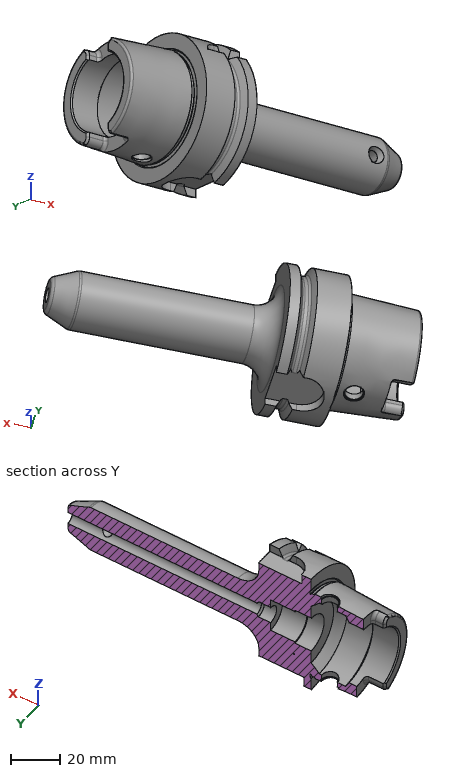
import cadquery as cq
import math

SHANK_LENGTH = 32.0
GAUGE_DIAMETER = 48.02
GAUGE_TO_FACE = 6.3
TAPER_RATIO = 9.98
SHANK_EDGE_RADIUS = 1.0
RELIEF_WIDTH = 2.0
RELIEF_DEPTH = 0.5
FACE_RELIEF_DIAMETER = 50.0
FACE_RELIEF_DEPTH = 0.5

FLANGE_LENGTH = 26.0
FLANGE_DIAMETER = 63.0
GROOVE_FROM_FACE = 18.0
GROOVE_DIAMETER = 55.0
GROOVE_BOTTOM_WIDTH = 3.1
GROOVE_HALF_ANGLE = 25.0
GROOVE_ROOT_RADIUS = 1.2

TOTAL_LENGTH = 152.0
ARBOR_DIAMETER = 24.5
ARBOR_ROOT_RADIUS = 10.0
NOSE_LENGTH = 11.0
NOSE_HALF_ANGLE = 23.5
NOSE_START_RADIUS = 2.3
NOSE_END_RADIUS = 2.1

MOUTH_DIAMETER = 34.0
MOUTH_CHAMFER = 0.6
MOUTH_LENGTH = 13.4
CLAMP_DIAMETER = 40.0
CLAMP_HALF_ANGLE = 60.0
CAVITY_DEPTH = 32.0
CAVITY_FLOOR_DIAMETER = 32.0

SEAT_DIAMETER = 18.5
SEAT_DEPTH = 8.0
SEAT_BORE_DIAMETER = 17.0
SEAT_BORE_DEPTH = 12.0
FEED_DIAMETER = 8.4
FEED_DEPTH = 6.0
FEED_TIP_HALF_ANGLE = 59.0
COOLANT_DIAMETER = 6.0

SHANK_HOLE_X = 23.0
SHANK_HOLE_DIAMETER = 7.5
SHANK_HOLE_RIM_DIAMETER = 8.4
SHANK_HOLE_RIM_DEPTH = 1.0
SCREW_HOLE_X = 134.55
SCREW_HOLE_DIAMETER = 4.92
SCREW_HOLE_RIM_DIAMETER = 7.8
SCREW_SINK_HALF_ANGLE = 30.0

NOTCH_WIDTH = 12.54
TOP_NOTCH_DEPTH = 6.2
BOTTOM_NOTCH_DEPTH = 9.5
NOTCH_CORNER_RADIUS = 1.5
NOTCH_LIP_RADIUS = 3.0
NOTCH_MOUTH_CHAMFER = 1.0
NOTCH_LIP_START = 17.8

SLOT_END_CENTRE_X = 44.8
SLOT_FLOOR = 26.5
TOP_SLOT_WIDTH = 16.0
BOTTOM_SLOT_WIDTH = 18.0
INDEX_OFFSET = 20.0
INDEX_END_RADIUS = 7.0

FACE_X = SHANK_LENGTH
FLANGE_END_X = FACE_X + FLANGE_LENGTH
CLEAR = 40.0
EDGE_MARGIN = 1.0
BEVEL_ANGLE = 45.0


def revolve_about_x(profile):
    return profile.close().revolve(360, (0, 0, 0), (1, 0, 0))


def taper_radius(x):
    gauge_x = FACE_X - GAUGE_TO_FACE
    return (GAUGE_DIAMETER + (x - gauge_x) / TAPER_RATIO) / 2


RELIEF_X = FACE_X - RELIEF_WIDTH
RELIEF_RADIUS = taper_radius(RELIEF_X) - RELIEF_DEPTH
UNDERCUT_X = FACE_X + FACE_RELIEF_DEPTH
UNDERCUT_RADIUS = RELIEF_RADIUS - 2 * FACE_RELIEF_DEPTH


def make_shank():
    """Tapered shank whose undercut runs at 45 degrees into the flange face."""
    shank = revolve_about_x(
        cq.Workplane("XY")
        .lineTo(0, taper_radius(0))
        .lineTo(RELIEF_X, taper_radius(RELIEF_X))
        .lineTo(RELIEF_X + RELIEF_DEPTH, RELIEF_RADIUS)
        .lineTo(FACE_X - FACE_RELIEF_DEPTH, RELIEF_RADIUS)
        .lineTo(UNDERCUT_X, UNDERCUT_RADIUS)
        .lineTo(UNDERCUT_X, 0)
    )
    shank = shank.faces("<X").edges().fillet(SHANK_EDGE_RADIUS)
    return cut_shank_notches(shank)


def make_face_relief():
    """Ring groove in the flange face with a 45 degree outer wall."""
    outer = FACE_RELIEF_DIAMETER / 2
    return revolve_about_x(
        cq.Workplane("XY")
        .moveTo(FACE_X, UNDERCUT_RADIUS)
        .lineTo(FACE_X, outer)
        .lineTo(UNDERCUT_X, outer - FACE_RELIEF_DEPTH)
        .lineTo(UNDERCUT_X, UNDERCUT_RADIUS)
    )


def make_flange():
    flange = (
        cq.Workplane("YZ", origin=(FACE_X, 0, 0))
        .circle(FLANGE_DIAMETER / 2)
        .extrude(FLANGE_LENGTH)
    )
    return flange.cut(make_gripper_groove()).cut(make_face_relief())


def make_gripper_groove():
    middle = FACE_X + GROOVE_FROM_FACE
    bottom = GROOVE_DIAMETER / 2
    half_bottom = GROOVE_BOTTOM_WIDTH / 2
    half_top = half_bottom + (CLEAR - bottom) * math.tan(math.radians(GROOVE_HALF_ANGLE))
    groove = revolve_about_x(
        cq.Workplane("XY")
        .moveTo(middle - half_top, CLEAR)
        .lineTo(middle - half_bottom, bottom)
        .lineTo(middle + half_bottom, bottom)
        .lineTo(middle + half_top, CLEAR)
    )
    reach = bottom + EDGE_MARGIN
    root = cq.selectors.BoxSelector(
        (middle - half_top, -reach, -reach), (middle + half_top, reach, reach)
    )
    return groove.edges(root).fillet(GROOVE_ROOT_RADIUS)


def make_arbor():
    radius = ARBOR_DIAMETER / 2
    nose_x = TOTAL_LENGTH - NOSE_LENGTH
    tip_radius = radius - NOSE_LENGTH * math.tan(math.radians(NOSE_HALF_ANGLE))
    arbor = revolve_about_x(
        cq.Workplane("XY")
        .moveTo(FACE_X, 0)
        .lineTo(FACE_X, radius)
        .lineTo(nose_x, radius)
        .lineTo(TOTAL_LENGTH, tip_radius)
        .lineTo(TOTAL_LENGTH, 0)
    )
    nose_start = cq.selectors.BoxSelector(
        (nose_x - EDGE_MARGIN, -CLEAR, -CLEAR), (nose_x + EDGE_MARGIN, CLEAR, CLEAR)
    )
    arbor = arbor.faces(">X").edges().fillet(NOSE_END_RADIUS)
    return arbor.edges(nose_start).fillet(NOSE_START_RADIUS)


def make_arbor_root():
    inner = ARBOR_DIAMETER / 2
    outer = inner + ARBOR_ROOT_RADIUS
    end_x = FLANGE_END_X + ARBOR_ROOT_RADIUS
    bulge = ARBOR_ROOT_RADIUS * math.sqrt(0.5)
    return revolve_about_x(
        cq.Workplane("XY")
        .moveTo(FLANGE_END_X, 0)
        .lineTo(FLANGE_END_X, outer)
        .threePointArc((end_x - bulge, outer - bulge), (end_x, inner))
        .lineTo(end_x, 0)
    )


def make_cavity():
    mouth = MOUTH_DIAMETER / 2
    clamp = CLAMP_DIAMETER / 2
    floor = CAVITY_FLOOR_DIAMETER / 2
    clamp_x = MOUTH_LENGTH + (clamp - mouth) / math.tan(math.radians(CLAMP_HALF_ANGLE))
    return revolve_about_x(
        cq.Workplane("XY")
        .lineTo(0, mouth + MOUTH_CHAMFER)
        .lineTo(MOUTH_CHAMFER, mouth)
        .lineTo(MOUTH_LENGTH, mouth)
        .lineTo(clamp_x, clamp)
        .lineTo(CAVITY_DEPTH - (clamp - floor), clamp)
        .lineTo(CAVITY_DEPTH, floor)
        .lineTo(CAVITY_DEPTH, 0)
    )


def make_axial_bore(diameter, end_x):
    return cq.Workplane("YZ").circle(diameter / 2).extrude(end_x)


def make_feed_bore(end_x):
    """Bore from the open end whose bottom is a drill cone."""
    radius = FEED_DIAMETER / 2
    tip_x = end_x + radius / math.tan(math.radians(FEED_TIP_HALF_ANGLE))
    return revolve_about_x(
        cq.Workplane("XY").lineTo(0, radius).lineTo(end_x, radius).lineTo(tip_x, 0)
    )


def cut_axial_bores(body):
    seat_end = CAVITY_DEPTH + SEAT_DEPTH
    bore_end = seat_end + SEAT_BORE_DEPTH
    body = body.cut(make_axial_bore(SEAT_DIAMETER, seat_end))
    body = body.cut(make_axial_bore(SEAT_BORE_DIAMETER, bore_end))
    body = body.cut(make_feed_bore(bore_end + FEED_DEPTH))
    return body.cut(make_axial_bore(COOLANT_DIAMETER, TOTAL_LENGTH))


def make_shank_hole():
    """Hole along +Z from the axis, stepped to a wider rim at the taper."""
    rim_z = taper_radius(SHANK_HOLE_X) - SHANK_HOLE_RIM_DEPTH
    hole = cq.Workplane("XY").circle(SHANK_HOLE_DIAMETER / 2).extrude(CLEAR)
    rim = cq.Workplane("XY", origin=(0, 0, rim_z)).circle(SHANK_HOLE_RIM_DIAMETER / 2)
    return hole.union(rim.extrude(CLEAR - rim_z)).translate((SHANK_HOLE_X, 0, 0))


def make_screw_hole():
    """Hole along -Y from the axis with a conical sink at the arbor surface."""
    radius = SCREW_HOLE_DIAMETER / 2
    rim = SCREW_HOLE_RIM_DIAMETER / 2
    surface = ARBOR_DIAMETER / 2
    sink_depth = (rim - radius) / math.tan(math.radians(SCREW_SINK_HALF_ANGLE))
    return (
        cq.Workplane("XY", origin=(SCREW_HOLE_X, 0, 0))
        .lineTo(radius, 0)
        .lineTo(radius, sink_depth - surface)
        .lineTo(rim, -surface)
        .lineTo(0, -surface)
        .close()
        .revolve(360, (0, 0, 0), (0, 1, 0))
    )


def cut_cross_holes(body):
    shank_hole = make_shank_hole()
    return body.cut(shank_hole).cut(shank_hole.mirror("XY")).cut(make_screw_hole())


def make_notch_outline(half, lip):
    """Upward notch section whose side walls flare outwards in an arc near the surface."""
    bulge = lip * math.sqrt(0.5)
    lip_top = NOTCH_LIP_START + lip
    return (
        cq.Workplane("YZ")
        .moveTo(-half, 0)
        .lineTo(-half, NOTCH_LIP_START)
        .threePointArc((-half - lip + bulge, NOTCH_LIP_START + bulge), (-half - lip, lip_top))
        .lineTo(-half - lip, CLEAR)
        .lineTo(half + lip, CLEAR)
        .lineTo(half + lip, lip_top)
        .threePointArc((half + lip - bulge, NOTCH_LIP_START + bulge), (half, NOTCH_LIP_START))
        .lineTo(half, 0)
        .close()
    )


def make_shank_notch(depth):
    """Driving notch with rounded floor corners and a chamfered mouth."""
    half = NOTCH_WIDTH / 2
    lip = NOTCH_LIP_RADIUS
    notch = make_notch_outline(half, lip).extrude(depth)
    notch = notch.faces(">X").edges("not <Z").edges("not >Z").fillet(NOTCH_CORNER_RADIUS)
    chamfer = NOTCH_MOUTH_CHAMFER
    mouth = make_notch_outline(half + chamfer, lip - chamfer).extrude(chamfer, taper=BEVEL_ANGLE)
    return notch.union(mouth)


def cut_shank_notches(body):
    body = body.cut(make_shank_notch(TOP_NOTCH_DEPTH))
    return body.cut(make_shank_notch(BOTTOM_NOTCH_DEPTH).mirror("XY"))


def make_flange_slot(width):
    """Upward slot with a round inner end, open at the arbor side of the flange."""
    run = FLANGE_END_X - SLOT_END_CENTRE_X
    height = CLEAR - SLOT_FLOOR
    end = cq.Workplane("XY", origin=(SLOT_END_CENTRE_X, 0, SLOT_FLOOR)).circle(width / 2)
    straight = cq.Workplane("XY", origin=(SLOT_END_CENTRE_X + run / 2, 0, SLOT_FLOOR)).rect(run, width)
    return end.extrude(height).union(straight.extrude(height))


def make_index_notch():
    """Corner notch between the -Y and +Z sides, with a round inner end."""
    slot = make_flange_slot(2 * INDEX_END_RADIUS)
    return slot.translate((0, -INDEX_OFFSET - INDEX_END_RADIUS, INDEX_OFFSET - SLOT_FLOOR))


body = make_shank().union(make_flange()).union(make_arbor()).union(make_arbor_root())
body = body.cut(make_cavity())
body = cut_axial_bores(body)
body = cut_cross_holes(body)
body = body.cut(make_flange_slot(TOP_SLOT_WIDTH))
body = body.cut(make_flange_slot(BOTTOM_SLOT_WIDTH).mirror("XY"))
result = body.cut(make_index_notch())